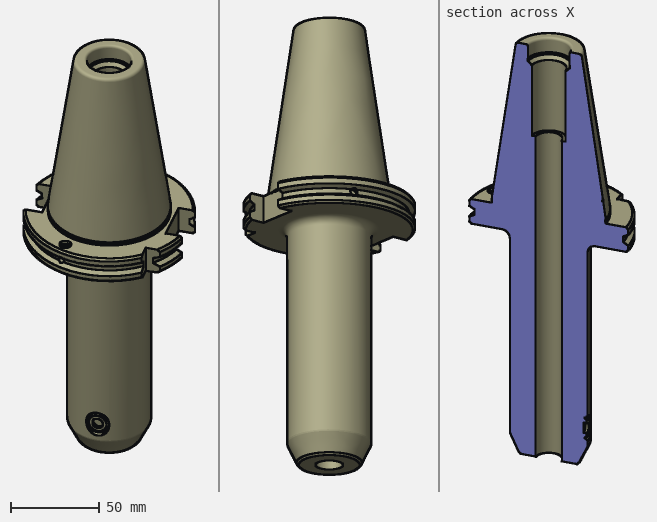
import cadquery as cq
import math

total_length = 261.8
gauge_z = 160.0
flange_top = 156.8
flange_bottom = 140.8
nose_length = 12.5

flange_radius = 48.7
gauge_radius = 70.0 / 2
tip_radius = 20.2
shank_radius = 48.0 / 2
nose_radius = 18.5

tip_fillet = 2.0
flange_chamfer = 1.3
shank_fillet = 4.7
nose_chamfer = 1.3
nose_shoulder_fillet = 2.0

relief_top = 159.0
relief_bottom = 157.8
relief_depth = 0.3

groove_z = 148.7
groove_depth = 3.1
groove_mouth = 6.8
groove_flank_angle = 30.0

tool_bore_radius = 7.9
thread_radius = 10.2
thread_end_depth = 57.5
pilot_radius = 12.5
pilot_depth = 10.5
pilot_mouth_fillet = 1.5
pilot_relief_height = 1.3
pilot_relief_depth = 0.3

slot_width = 26.0
left_slot_floor_x = -35.9
right_slot_floor_x = 37.2
notch_x = 30.4
notch_y = -29.5

coolant_circle_radius = 42.0
coolant_angles = (70.0, 250.0)
coolant_mouth_radius = 3.5
coolant_hole_radius = 2.4
coolant_face_radius = 1.8
coolant_face_depth = 1.3
coolant_socket_radius = 1.0
coolant_socket_depth = 3.1
coolant_outlet_radius = 2.0
coolant_outlet_depth = 2.5

screw_z = 24.0
screw_hole_radius = 6.5
screw_face_radius = 5.2
screw_mouth_radius = 7.9
screw_face_depth = 0.8
screw_socket_radius = 3.1
screw_socket_depth = 2.5


def make_body():
    """Revolved outside shape with its tip and nose shoulder rounded."""
    relief_radius = gauge_radius - relief_depth
    profile = (
        cq.Workplane("YZ")
        .moveTo(0, 0)
        .lineTo(nose_radius - nose_chamfer, 0)
        .lineTo(nose_radius, nose_chamfer)
        .lineTo(shank_radius, nose_length)
        .lineTo(shank_radius, flange_bottom - shank_fillet)
        .radiusArc((shank_radius + shank_fillet, flange_bottom), shank_fillet)
        .lineTo(flange_radius - flange_chamfer, flange_bottom)
        .lineTo(flange_radius, flange_bottom + flange_chamfer)
        .lineTo(flange_radius, flange_top - flange_chamfer)
        .lineTo(flange_radius - flange_chamfer, flange_top)
        .lineTo(gauge_radius, flange_top)
        .lineTo(gauge_radius, relief_bottom)
        .lineTo(relief_radius, relief_bottom)
        .lineTo(relief_radius, relief_top)
        .lineTo(gauge_radius, relief_top)
        .lineTo(gauge_radius, gauge_z)
        .lineTo(tip_radius, total_length)
        .lineTo(0, total_length)
        .close()
    )
    body = profile.revolve(360, (0, 0, 0), (0, 1, 0))
    body = body.faces(">Z").edges().fillet(tip_fillet)
    shoulder = cq.selectors.BoxSelector(
        (-flange_radius, -flange_radius, nose_length - nose_chamfer),
        (flange_radius, flange_radius, nose_length + nose_chamfer),
        boundingbox=True,
    )
    return body.edges(shoulder).fillet(nose_shoulder_fillet)


def make_flange_groove():
    """V-groove ring with a flat floor."""
    mouth_half = groove_mouth / 2
    floor_half = mouth_half - groove_depth * math.tan(math.radians(groove_flank_angle))
    floor_radius = flange_radius - groove_depth
    return (
        cq.Workplane("XZ")
        .moveTo(floor_radius, groove_z - floor_half)
        .lineTo(flange_radius, groove_z - mouth_half)
        .lineTo(flange_radius, groove_z + mouth_half)
        .lineTo(floor_radius, groove_z + floor_half)
        .close()
        .revolve(360, (0, 0, 0), (0, 1, 0))
    )


def make_bore():
    """Through bore: tool bore, thread bore, pilot with a relief ring at its foot, rounded mouth."""
    pilot_bottom = total_length - pilot_depth
    thread_bottom = total_length - thread_end_depth
    return (
        cq.Workplane("XZ")
        .moveTo(0, 0)
        .lineTo(tool_bore_radius, 0)
        .lineTo(tool_bore_radius, thread_bottom)
        .lineTo(thread_radius, thread_bottom)
        .lineTo(thread_radius, pilot_bottom - (pilot_radius - thread_radius))
        .lineTo(pilot_radius, pilot_bottom)
        .lineTo(pilot_radius + pilot_relief_depth, pilot_bottom)
        .lineTo(pilot_radius + pilot_relief_depth, pilot_bottom + pilot_relief_height)
        .lineTo(pilot_radius, pilot_bottom + pilot_relief_height)
        .lineTo(pilot_radius, total_length - pilot_mouth_fillet)
        .radiusArc((pilot_radius + pilot_mouth_fillet, total_length), pilot_mouth_fillet)
        .lineTo(0, total_length)
        .close()
        .revolve(360, (0, 0, 0), (0, 1, 0))
    )


def make_flange_cutouts():
    """Two driving slots and the corner notch, all through the flange height."""
    height = flange_top - flange_bottom
    reach = 2 * flange_radius

    def block(x_min, x_max, y_min, y_max):
        corner = (x_min, y_min, flange_bottom)
        return cq.Workplane("XY").box(x_max - x_min, y_max - y_min, height, centered=False).translate(corner)

    left_slot = block(-reach, left_slot_floor_x, -slot_width / 2, slot_width / 2)
    right_slot = block(right_slot_floor_x, reach, -slot_width / 2, slot_width / 2)
    notch = block(notch_x, reach, -reach, notch_y)
    return left_slot.union(right_slot).union(notch)


def make_screw_recess(mouth_radius, hole_radius, face_radius, face_depth, socket_radius, socket_depth):
    """Space left above a socket screw set just below z = 0.

    The hole mouth is countersunk and the rim of the screw is chamfered, both at 45 degrees.
    """
    countersink_depth = mouth_radius - hole_radius
    rim_depth = face_depth + hole_radius - face_radius
    return (
        cq.Workplane("XZ")
        .moveTo(0, 0)
        .lineTo(mouth_radius, 0)
        .lineTo(hole_radius, -countersink_depth)
        .lineTo(hole_radius, -rim_depth)
        .lineTo(face_radius, -face_depth)
        .lineTo(socket_radius, -face_depth)
        .lineTo(socket_radius, -socket_depth)
        .lineTo(0, -socket_depth)
        .close()
        .revolve(360, (0, 0, 0), (0, 1, 0))
    )


def make_coolant_hole(angle):
    """Screw recess in the flange top and its outlet in the groove floor."""
    recess = make_screw_recess(
        coolant_mouth_radius,
        coolant_hole_radius,
        coolant_face_radius,
        coolant_face_depth,
        coolant_socket_radius,
        coolant_socket_depth,
    ).translate((coolant_circle_radius, 0, flange_top))
    outlet_start = flange_radius - groove_depth - coolant_outlet_depth
    outlet = (
        cq.Workplane("YZ", origin=(outlet_start, 0, groove_z))
        .circle(coolant_outlet_radius)
        .extrude(flange_radius - outlet_start)
    )
    return recess.union(outlet).rotate((0, 0, 0), (0, 0, 1), angle)


def make_clamping_screw_hole():
    """Clamping screw recess entering the shank from -Y."""
    recess = make_screw_recess(
        screw_mouth_radius,
        screw_hole_radius,
        screw_face_radius,
        screw_face_depth,
        screw_socket_radius,
        screw_socket_depth,
    )
    return recess.rotate((0, 0, 0), (1, 0, 0), 90).translate((0, -shank_radius, screw_z))


result = make_body().cut(make_flange_groove()).cut(make_bore()).cut(make_flange_cutouts())
for coolant_angle in coolant_angles:
    result = result.cut(make_coolant_hole(coolant_angle))
result = result.cut(make_clamping_screw_hole())